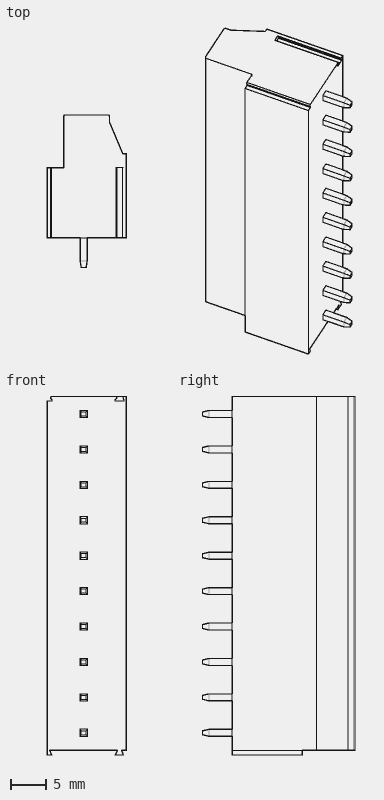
import cadquery as cq

total_height = 50.65
rail_height = 0.65
body_height = total_height - rail_height
body_width = 11.2
body_depth = 17.35

shoulder_depth = 9.95
step_width = 2.35
back_right = 8.8
slope_top_drop = 1.0
slope_bottom_drop = 5.45
slope_bottom_x = 10.7
back_corner_radius = 0.25

edge_rail_root = 0.4
edge_rail_tip = 0.65
inner_rail_root_left = 9.95
inner_rail_root_right = 10.55
inner_rail_tip_left = 9.55
inner_rail_tip_right = 10.8

groove_depth = rail_height
groove_waist_depth = 0.23
groove_flank_depth = 0.48
groove_lip = 0.15
edge_groove_waist = 0.45
edge_groove_floor = 0.65
inner_groove_waist_left = 9.9
inner_groove_mouth_right = 10.65
inner_groove_floor_left = 9.55
inner_groove_floor_right = 10.85

pin_count = 10
pin_pitch = body_height / pin_count
pin_size = 1.0
pin_x = 5.15
pin_length = 4.2
pin_taper_length = 0.9
pin_tip_width = 0.7
pin_tip_height = 0.55
pin_embed = 0.5


def bar_along_y(section):
    """Extrude an XZ section from the front face back to the shoulder."""
    return cq.Workplane("XZ").polyline(section).close().extrude(-shoulder_depth)


def housing():
    """Stepped block with a sloped right side and rounded rear corners."""
    outline = [
        (0, 0),
        (body_width, 0),
        (body_width, body_depth - slope_bottom_drop),
        (slope_bottom_x, body_depth - slope_bottom_drop),
        (back_right, body_depth - slope_top_drop),
        (back_right, body_depth),
        (step_width, body_depth),
        (step_width, shoulder_depth),
        (0, shoulder_depth),
    ]
    block = cq.Workplane("XY").polyline(outline).close().extrude(body_height)
    return block.faces(">Y").edges("|Z").fillet(back_corner_radius)


def edge_rail():
    """Half dovetail under the bottom face, flush with the left side."""
    return bar_along_y([
        (0, 0),
        (edge_rail_root, 0),
        (edge_rail_tip, -rail_height),
        (0, -rail_height),
    ])


def inner_rail():
    """Full dovetail under the bottom face, near the right side."""
    return bar_along_y([
        (inner_rail_root_left, 0),
        (inner_rail_root_right, 0),
        (inner_rail_tip_right, -rail_height),
        (inner_rail_tip_left, -rail_height),
    ])


def edge_groove():
    """Groove in the top face, open to the left side."""
    return bar_along_y([
        (0, body_height),
        (edge_groove_waist + groove_lip, body_height),
        (edge_groove_waist, body_height - groove_waist_depth),
        (edge_groove_floor, body_height - groove_flank_depth),
        (edge_groove_floor, body_height - groove_depth),
        (0, body_height - groove_depth),
    ])


def inner_groove():
    """Groove in the top face near the right side, with the lip on its left flank only."""
    return bar_along_y([
        (inner_groove_waist_left - groove_lip, body_height),
        (inner_groove_mouth_right, body_height),
        (inner_groove_floor_right, body_height - groove_flank_depth),
        (inner_groove_floor_right, body_height - groove_depth),
        (inner_groove_floor_left, body_height - groove_depth),
        (inner_groove_floor_left, body_height - groove_flank_depth),
        (inner_groove_waist_left, body_height - groove_waist_depth),
    ])


def pin(height):
    """Square pin pointing toward -Y with a tapered tip, centred at the given Z."""
    shank_length = pin_length - pin_taper_length
    shank = (
        cq.Workplane("XZ", origin=(pin_x, pin_embed, height))
        .rect(pin_size, pin_size)
        .extrude(pin_embed + shank_length)
    )
    return (
        shank.faces("<Y")
        .workplane(centerOption="CenterOfBoundBox")
        .rect(pin_size, pin_size)
        .workplane(offset=pin_taper_length)
        .rect(pin_tip_width, pin_tip_height)
        .loft(combine=True)
    )


result = housing().cut(edge_groove()).cut(inner_groove())
result = result.union(edge_rail()).union(inner_rail())
for index in range(pin_count):
    result = result.union(pin((index + 0.5) * pin_pitch))